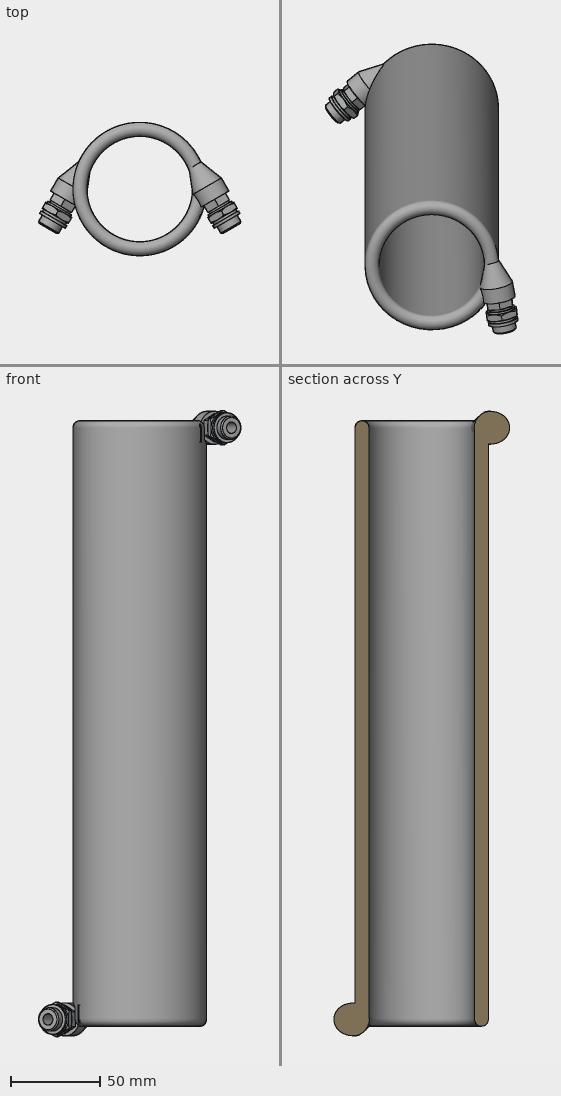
import cadquery as cq
import math

BODY_LENGTH = 340.0
BODY_OUTER_DIAMETER = 75.0
BODY_BORE_DIAMETER = 59.1
WALL = (BODY_OUTER_DIAMETER - BODY_BORE_DIAMETER) / 2
END_ROUND_RADIUS = WALL / 2
MID_WALL_RADIUS = (BODY_OUTER_DIAMETER + BODY_BORE_DIAMETER) / 4

FITTING_ANGLE = 30.0
FITTING_HEIGHT = BODY_LENGTH / 2 - END_ROUND_RADIUS

SLOT_ANGLE = -23.8
SLOT_WIDTH = 1.4
SLOT_DEPTH = 0.6
SLOT_REACH = 8.1

STUB_DIAMETER = WALL
COLLAR_DIAMETER = 18.6
SMALL_HEX_FLATS = 14.0
NUT_FLATS = 17.0
NUT_CHAMFER_ANGLE = 30.0
FLANGE_DIAMETER = 16.8
GROOVE_DIAMETER = 15.0
NECK_DIAMETER = 13.16
WASHER_DIAMETER = 15.5
TIP_DIAMETER = 13.16
TIP_BORE_DIAMETER = 6.35

CONE_START = 4.0
COLLAR_START = 17.5
SMALL_HEX_START = 26.0
NECK_START = 30.5
WASHER_START = 31.7
NUT_START = 32.8
NUT_END = 36.8
FLANGE_START = 38.3
TIP_START = 40.0
TIP_END = 44.95
TIP_CHAMFER = 0.8
TIP_BORE_DEPTH = 12.0


def make_body():
    """Tube whose two end rims are fully rounded across the wall."""
    tube = (
        cq.Workplane("XY")
        .circle(BODY_OUTER_DIAMETER / 2)
        .circle(BODY_BORE_DIAMETER / 2)
        .extrude(2 * FITTING_HEIGHT)
        .translate((0, 0, -FITTING_HEIGHT))
    )
    for height in (-FITTING_HEIGHT, FITTING_HEIGHT):
        rim = cq.Workplane(cq.Solid.makeTorus(MID_WALL_RADIUS, END_ROUND_RADIUS)).translate((0, 0, height))
        tube = tube.union(rim)
    return tube


def cylinder(diameter, start, end):
    return cq.Workplane("XY").workplane(offset=start).circle(diameter / 2).extrude(end - start)


def hexagon_corners(across_flats):
    return across_flats / math.cos(math.pi / 6)


def hexagon(across_flats, start, end):
    """Hexagonal prism with two corners on the local X axis."""
    return (
        cq.Workplane("XY")
        .workplane(offset=start)
        .polygon(6, hexagon_corners(across_flats))
        .extrude(end - start)
    )


def make_nut():
    """Hexagon nut with conical chamfers that bring each end face down to a circle."""
    outside = hexagon_corners(NUT_FLATS)
    radial_chamfer = (outside - NUT_FLATS) / 2
    axial_chamfer = radial_chamfer * math.tan(math.radians(NUT_CHAMFER_ANGLE))
    profile = [
        (0, NUT_START),
        (NUT_FLATS / 2, NUT_START),
        (outside / 2, NUT_START + axial_chamfer),
        (outside / 2, NUT_END - axial_chamfer),
        (NUT_FLATS / 2, NUT_END),
        (0, NUT_END),
    ]
    envelope = cq.Workplane("XZ").polyline(profile).close().revolve(360, (0, 0, 0), (0, 1, 0))
    return hexagon(NUT_FLATS, NUT_START, NUT_END).intersect(envelope)


def make_fitting():
    """Hose fitting along local +Z, starting at the point of tangency."""
    cone = (
        cq.Workplane("XY")
        .workplane(offset=CONE_START)
        .circle(STUB_DIAMETER / 2)
        .workplane(offset=COLLAR_START - CONE_START)
        .circle(COLLAR_DIAMETER / 2)
        .loft(ruled=True)
    )
    tip = cylinder(TIP_DIAMETER, TIP_START, TIP_END).faces(">Z").edges().chamfer(TIP_CHAMFER)
    sections = (
        cone,
        cylinder(COLLAR_DIAMETER, COLLAR_START, SMALL_HEX_START),
        hexagon(SMALL_HEX_FLATS, SMALL_HEX_START, NECK_START),
        cylinder(NECK_DIAMETER, NECK_START, WASHER_START),
        cylinder(WASHER_DIAMETER, WASHER_START, NUT_START),
        make_nut(),
        cylinder(GROOVE_DIAMETER, NUT_END, FLANGE_START),
        cylinder(FLANGE_DIAMETER, FLANGE_START, TIP_START),
        tip,
    )
    fitting = cylinder(STUB_DIAMETER, 0, CONE_START)
    for section in sections:
        fitting = fitting.union(section)
    return fitting.cut(cylinder(TIP_BORE_DIAMETER, TIP_END - TIP_BORE_DEPTH, TIP_END))


def place_fitting(fitting):
    """Put the fitting on the upper rim, pointing along the clockwise tangent, hexagon corners up."""
    angle = math.radians(FITTING_ANGLE)
    tangency = (MID_WALL_RADIUS * math.cos(angle), MID_WALL_RADIUS * math.sin(angle), FITTING_HEIGHT)
    tangent = (math.sin(angle), -math.cos(angle), 0)
    frame = cq.Plane(origin=tangency, xDir=(0, 0, 1), normal=tangent)
    return cq.Workplane(fitting.val().moved(cq.Location(frame)))


def make_slot_cutter():
    """Cutter for the groove that runs from the upper rim to just past the fitting axis."""
    bottom = FITTING_HEIGHT - SLOT_REACH
    return (
        cq.Workplane("XY")
        .box(2 * SLOT_DEPTH, SLOT_WIDTH, BODY_LENGTH / 2 - bottom, centered=(True, True, False))
        .translate((BODY_OUTER_DIAMETER / 2, 0, bottom))
        .rotate((0, 0, 0), (0, 0, 1), SLOT_ANGLE)
    )


def turn_over(shape):
    """Half turn about the Y axis, from the upper right end to the lower left end."""
    return shape.rotate((0, 0, 0), (0, 1, 0), 180)


slot = make_slot_cutter()
body = make_body().cut(slot).cut(turn_over(slot))
upper_fitting = place_fitting(make_fitting())
result = body.union(upper_fitting).union(turn_over(upper_fitting))